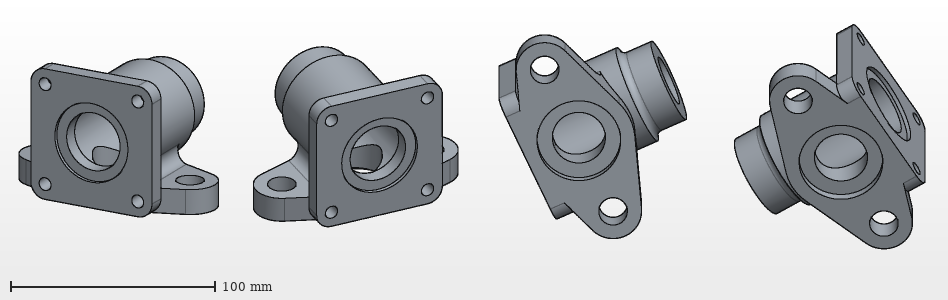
import cadquery as cq
import math


flange_side = 68.0
flange_thickness = 9.0
flange_corner_radius = 8.0
bolt_pitch = 52.0
bolt_hole_diameter = 6.65
bolt_hole_depth = 16.0
drill_point_angle = 118.0

axis_height = flange_side / 2
barrel_radius = 25.0
barrel_length = 50.0
neck_radius = 21.0
total_length = 76.0
barrel_end = flange_thickness + barrel_length
shoulder_fillet = barrel_radius - neck_radius

front_recess_radius = 20.5
front_recess_depth = 2.0
mouth_bore_radius = 15.0
chamber_start = 10.0
chamber_radius = 18.5
chamber_end = barrel_end
rear_bore_radius = 12.5

foot_thickness = 13.0
foot_center_radius = 27.5
foot_center_y = foot_center_radius
ear_radius = 14.0
ear_offset = 40.0
ear_hole_diameter = 14.0
foot_fillet = 6.0
drain_hole_diameter = 26.0
underside_recess_diameter = 41.0
underside_recess_depth = 5.0


def axial_cylinder(radius, start, end):
    """Cylinder about the bore axis between two Y positions."""
    base = cq.Workplane("XZ", origin=(0, start, axis_height))
    return base.circle(radius).extrude(start - end)


def make_flange():
    plate = cq.Workplane("XY").box(
        flange_side, flange_thickness, flange_side, centered=(True, False, False)
    )
    return plate.edges("|Y").fillet(flange_corner_radius)


def make_barrel():
    """Barrel and neck, revolved, with a concave quarter round filling the shoulder."""
    arc_drop = shoulder_fillet * math.sqrt(0.5)
    profile = (
        cq.Workplane("XY")
        .lineTo(barrel_radius, 0)
        .lineTo(barrel_radius, barrel_end)
        .threePointArc(
            (barrel_radius - arc_drop, barrel_end + shoulder_fillet - arc_drop),
            (neck_radius, barrel_end + shoulder_fillet),
        )
        .lineTo(neck_radius, total_length)
        .lineTo(0, total_length)
        .close()
    )
    return profile.revolve(360, (0, 0, 0), (0, 1, 0)).translate((0, 0, axis_height))


def foot_prism(height):
    """Foot outline: a central round and two ear rounds joined by tangent lines."""
    tangent_sin = (foot_center_radius - ear_radius) / ear_offset
    tangent_cos = math.sqrt(1 - tangent_sin**2)
    center_x = foot_center_radius * tangent_sin
    center_y = foot_center_radius * tangent_cos
    ear_x = ear_offset + ear_radius * tangent_sin
    ear_y = ear_radius * tangent_cos
    ear_tip = ear_offset + ear_radius
    outline = (
        cq.Workplane("XY", origin=(0, foot_center_y, 0))
        .moveTo(-center_x, center_y)
        .threePointArc((0, foot_center_radius), (center_x, center_y))
        .lineTo(ear_x, ear_y)
        .threePointArc((ear_tip, 0), (ear_x, -ear_y))
        .lineTo(center_x, -center_y)
        .threePointArc((0, -foot_center_radius), (-center_x, -center_y))
        .lineTo(-ear_x, -ear_y)
        .threePointArc((-ear_tip, 0), (-ear_x, ear_y))
        .close()
    )
    return outline.extrude(height)


def make_foot():
    """Foot plate plus a web blended into the barrel by fillets tangent to both."""
    fillet_z = foot_thickness + foot_fillet
    center_distance = barrel_radius + foot_fillet
    drop = axis_height - fillet_z
    fillet_x = math.sqrt(center_distance**2 - drop**2)
    contact_x = fillet_x * barrel_radius / center_distance
    contact_z = axis_height - drop * barrel_radius / center_distance

    mid_angle = (math.atan2(drop, -fillet_x) + 1.5 * math.pi) / 2
    mid_x = fillet_x + foot_fillet * math.cos(mid_angle)
    mid_z = fillet_z + foot_fillet * math.sin(mid_angle)

    web_section = (
        cq.Workplane("XZ")
        .moveTo(-fillet_x, 0)
        .lineTo(fillet_x, 0)
        .lineTo(fillet_x, foot_thickness)
        .threePointArc((mid_x, mid_z), (contact_x, contact_z))
        .lineTo(-contact_x, contact_z)
        .threePointArc((-mid_x, mid_z), (-fillet_x, foot_thickness))
        .close()
    )
    web = web_section.extrude(-2 * foot_center_radius)
    return foot_prism(foot_thickness).union(web.intersect(foot_prism(contact_z)))


def cut_axial_bores(body):
    bores = (
        (front_recess_radius, 0, front_recess_depth),
        (mouth_bore_radius, 0, chamber_start),
        (chamber_radius, chamber_start, chamber_end),
        (rear_bore_radius, chamber_end, total_length),
    )
    for radius, start, end in bores:
        body = body.cut(axial_cylinder(radius, start, end))
    return body


def cut_bolt_holes(body):
    """Four holes drilled from the flange face: the upper two pass through, the lower two end in the foot."""
    radius = bolt_hole_diameter / 2
    point_length = radius / math.tan(math.radians(drill_point_angle / 2))
    drill = (
        cq.Workplane("XY")
        .lineTo(radius, 0)
        .lineTo(radius, bolt_hole_depth)
        .lineTo(0, bolt_hole_depth + point_length)
        .close()
        .revolve(360, (0, 0, 0), (0, 1, 0))
    )
    for x_side in (-1, 1):
        for z_side in (-1, 1):
            x = x_side * bolt_pitch / 2
            z = axis_height + z_side * bolt_pitch / 2
            body = body.cut(drill.translate((x, 0, z)))
    return body


def cut_foot_holes(body):
    """Ear through holes, and a counterbored hole from the foot up into the chamber."""
    plane = cq.Workplane("XY", origin=(0, foot_center_y, 0))
    ears = plane.pushPoints([(-ear_offset, 0), (ear_offset, 0)])
    ear_holes = ears.circle(ear_hole_diameter / 2).extrude(foot_thickness)
    drain_hole = plane.circle(drain_hole_diameter / 2).extrude(axis_height)
    recess = plane.circle(underside_recess_diameter / 2).extrude(underside_recess_depth)
    return body.cut(ear_holes).cut(drain_hole).cut(recess)


result = make_flange().union(make_barrel()).union(make_foot())
result = cut_axial_bores(result)
result = cut_bolt_holes(result)
result = cut_foot_holes(result)